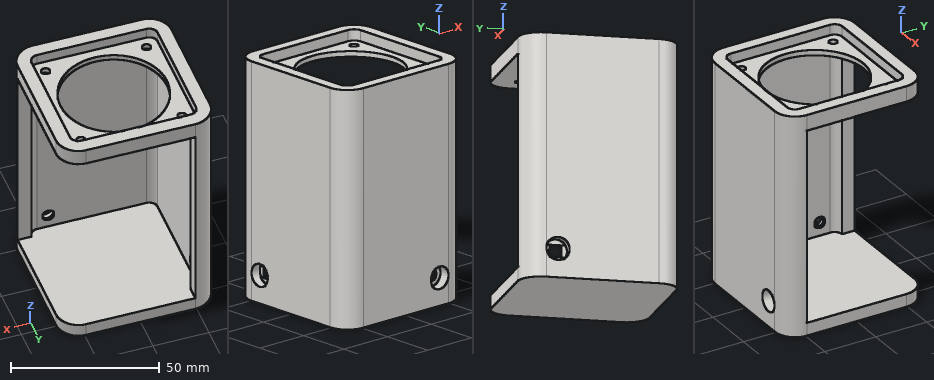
import cadquery as cq

side = 55.0
height = 85.0
corner_radius = 8.0
wall = 5.0
floor_thickness = wall

recess_side = side - 2 * wall
recess_radius = 3.0
recess_depth = 4.0
plate_thickness = 2.0
aperture_diameter = 38.0
plate_hole_diameter = 3.0
plate_hole_spacing = 36.0

screw_diameter = 4.2
head_diameter = 8.0
head_depth = 4.0
screw_offset = 15.5
screw_height = 10.0
bridge_step = 0.2

half_side = side / 2
recess_floor = height - recess_depth
cavity_top = recess_floor - plate_thickness
cavity_height = cavity_top - floor_thickness


def rounded_column(width, radius, bottom, length):
    """Square column centred on the Z axis, with rounded upright edges."""
    column = cq.Workplane("XY").workplane(offset=bottom).rect(width, width).extrude(length)
    return column.edges("|Z").fillet(radius)


def corner_opening():
    """Opens the +X and +Y sides up to the rounded -X+Y and +X-Y corners."""
    start = corner_radius - half_side
    return cq.Workplane("XY").box(side, side, cavity_height, centered=False).translate(
        (start, start, floor_thickness)
    )


def plate_cutter():
    """Central aperture and the four screw holes of the top plate."""
    plate = cq.Workplane("XY").workplane(offset=cavity_top)
    aperture = plate.circle(aperture_diameter / 2).extrude(plate_thickness)
    holes = (
        plate.rect(plate_hole_spacing, plate_hole_spacing, forConstruction=True)
        .vertices()
        .circle(plate_hole_diameter / 2)
        .extrude(plate_thickness)
    )
    return aperture.union(holes)


def counterbored_hole(face, round_depth):
    """Screw hole through one wall; the axis runs inward from the workplane on that wall."""
    head = face.circle(head_diameter / 2).extrude(round_depth)
    shank = face.circle(screw_diameter / 2).extrude(wall)
    return head.union(shank)


def bridging_steps(face):
    """A band across the head recess, then a square, so that the wall prints without supports."""
    band_depth = head_depth - bridge_step
    strip = face.rect(head_diameter, screw_diameter).extrude(band_depth)
    band = face.circle(head_diameter / 2).extrude(band_depth).intersect(strip)
    square = face.rect(screw_diameter, screw_diameter).extrude(head_depth)
    return band.union(square)


left_face = cq.Workplane(
    cq.Plane(origin=(-half_side, screw_offset, screw_height), xDir=(0, 1, 0), normal=(1, 0, 0))
)
front_face = cq.Workplane(
    cq.Plane(origin=(screw_offset, -half_side, screw_height), xDir=(1, 0, 0), normal=(0, 1, 0))
)

result = (
    rounded_column(side, corner_radius, 0, height)
    .cut(rounded_column(recess_side, recess_radius, recess_floor, recess_depth))
    .cut(rounded_column(recess_side, recess_radius, floor_thickness, cavity_height))
    .cut(corner_opening())
    .cut(plate_cutter())
    .cut(counterbored_hole(left_face, head_depth - 2 * bridge_step))
    .cut(bridging_steps(left_face))
    .cut(counterbored_hole(front_face, head_depth))
)